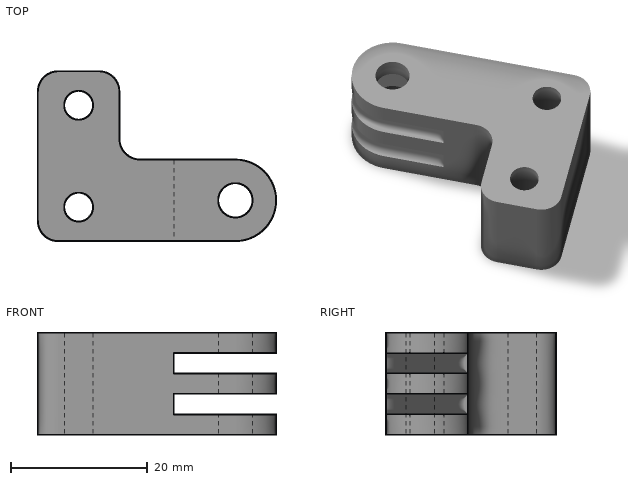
import cadquery as cq

length = 35.0
depth = 24.95
height = 15.0

leg_width = 12.0
arm_width = 12.0
corner_radius = 3.0
arm_end_radius = arm_width / 2

mount_hole_diameter = 4.2
mount_hole_x = leg_width / 2
mount_hole_edge_distance = 5.0
pivot_hole_diameter = 5.0

slot_start_x = 20.0
slot_count = 2
layer_thickness = height / (2 * slot_count + 1)


def make_body():
    """L-shaped block with rounded corners and a half-round arm end."""
    arm_end_x = length - arm_end_radius
    body = (
        cq.Workplane("XY")
        .lineTo(arm_end_x, 0)
        .threePointArc((length, arm_end_radius), (arm_end_x, arm_width))
        .lineTo(leg_width, arm_width)
        .lineTo(leg_width, depth)
        .lineTo(0, depth)
        .close()
        .extrude(height)
    )
    corners = [(0, 0), (0, depth), (leg_width, depth), (leg_width, arm_width)]
    for x, y in corners:
        corner_edge = cq.selectors.NearestToPointSelector((x, y, height / 2))
        body = body.edges(corner_edge).fillet(corner_radius)
    return body


def cut_holes(body):
    """Two mounting holes in the leg and a pivot hole at the arm end, all through."""
    mount_hole_places = [
        (mount_hole_x, mount_hole_edge_distance),
        (mount_hole_x, depth - mount_hole_edge_distance),
    ]
    mount_holes = (
        cq.Workplane("XY")
        .pushPoints(mount_hole_places)
        .circle(mount_hole_diameter / 2)
        .extrude(height)
    )
    pivot_hole = (
        cq.Workplane("XY")
        .center(length - arm_end_radius, arm_end_radius)
        .circle(pivot_hole_diameter / 2)
        .extrude(height)
    )
    return body.cut(mount_holes).cut(pivot_hole)


def cut_slots(body):
    """Horizontal slots across the arm that leave fingers between them."""
    for index in range(slot_count):
        slot_bottom = (2 * index + 1) * layer_thickness
        slot = (
            cq.Workplane("XY")
            .box(length - slot_start_x, arm_width, layer_thickness, centered=False)
            .translate((slot_start_x, 0, slot_bottom))
        )
        body = body.cut(slot)
    return body


result = cut_slots(cut_holes(make_body()))